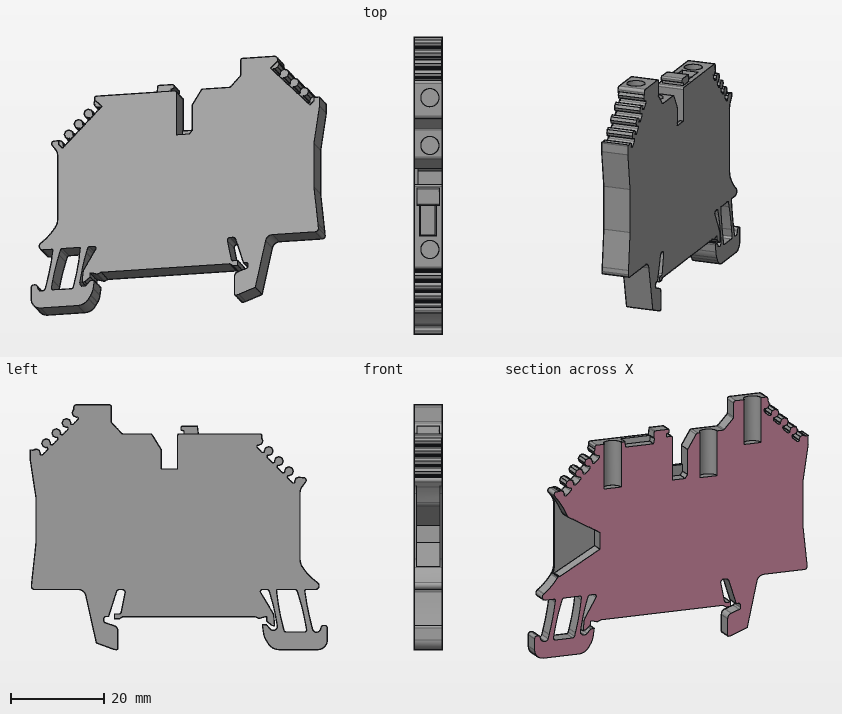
import cadquery as cq
import math


THICKNESS = 6.1
LENGTH = 63.74
HEIGHT = 52.55

SHOULDER_Z = 12.9
OVERLAP = 1.0
FIXED_GAP_Y = 44.1
SPRING_GAP_Y = 13.6
RAIL_SEAT_Z = 7.05
TOWER_FRONT_Y = 46.3
TOWER_BACK_Y = 54.42
DECK_Z = 46.3
END_WALL_Y = 5.85
LIP_Y = 3.94
LIP_Z = 36.9
FLARE_Z = 34.4

RIB_SLOPE = 45
RIB_COUNT = 5
RIB_STEP = 2.175
RIB_RADIUS = 0.97
RIB_NECK = 1.0
RIB_CENTRE_HEIGHT = 1.2
RIB_LENGTH = 5.9
RIB_SPAN = (RIB_COUNT - 1) * RIB_STEP
HIGH_ROW = (62.47, 42.1)
LOW_ROW = (6.07, 36.1)
VALLEY_OFFSET = RIB_CENTRE_HEIGHT / math.sqrt(2)

HOLE_RADIUS = 1.95
HOLE_X = 3.4
HOLE_DEPTH = 10.0
HOLES = ((50.75, HEIGHT), (40.5, DECK_Z), (18.2, DECK_Z))

SLOT_Y = (32.15, 35.6)
SLOT_FLOOR_Z = 38.8
SLOT_LIP = 0.8
SLOT_STEP_WALL = 1.5
SLOT_STEP_DEPTH = 2.3
SLOT_STEP_RUN = 0.6

LATCH_X = (0.6, 5.45)
LATCH_Y = (27.65, 31.4)
LATCH_TOP_Z = 47.95
LATCH_NECK = 0.65
LATCH_NOSE_Z = 47.1
POCKET_X = (1.15, 4.8)
POCKET_Y = (21.08, 27.9)
POCKET_DEPTH = 1.2
POCKET_TAPER = 0.25

CAVITY_X = (0.58, 5.52)
CAVITY_BACK_Y = 15.2


def rounded_outline(corners):
    """Closed YZ wire through (y, z, radius) corners; a radius of 0 stays sharp."""
    trims = []
    for i, (y, z, radius) in enumerate(corners):
        here = cq.Vector(y, z)
        back = (cq.Vector(*corners[i - 1][:2]) - here).normalized()
        ahead = (cq.Vector(*corners[(i + 1) % len(corners)][:2]) - here).normalized()
        half_angle = back.getAngle(ahead) / 2
        reach = radius / math.tan(half_angle)
        to_centre = (back + ahead).normalized()
        middle = here + to_centre * (radius / math.sin(half_angle) - radius)
        trims.append((here + back * reach, middle, here + ahead * reach, radius))
    wire = cq.Workplane("YZ").moveTo(trims[0][2].x, trims[0][2].y)
    for start, middle, end, radius in trims[1:] + trims[:1]:
        wire = wire.lineTo(start.x, start.y)
        if radius > 0:
            wire = wire.threePointArc((middle.x, middle.y), (end.x, end.y))
    return wire.close()


def plate(corners, x_range=(0, THICKNESS)):
    """Prism of a rounded outline between two X positions, by default the full thickness."""
    start_x, end_x = x_range
    return rounded_outline(corners).extrude(end_x - start_x).translate((start_x, 0, 0))


def housing():
    high_y, high_z = HIGH_ROW
    low_y, low_z = LOW_ROW
    valley = VALLEY_OFFSET
    return plate([
        (LENGTH, 42.85, 0.1),
        (high_y, high_z + 0.7, 0),
        (high_y, high_z, 0),
        (high_y - valley, high_z - valley, 0),
        (high_y - RIB_SPAN - valley, high_z + RIB_SPAN - valley, 0),
        (high_y - RIB_SPAN, high_z + RIB_SPAN, 0),
        (TOWER_BACK_Y, high_z + RIB_SPAN + 0.6, 0),
        (TOWER_BACK_Y, HEIGHT, 0.65),
        (TOWER_FRONT_Y, HEIGHT, 0.5),
        (TOWER_FRONT_Y, 48.75, 0.4),
        (44.0, DECK_Z, 0.4),
        (37.7, DECK_Z, 0.5),
        (SLOT_Y[1], 42.9, 0),
        (SLOT_Y[1], SLOT_FLOOR_Z, 0),
        (SLOT_Y[0], SLOT_FLOOR_Z, 0),
        (SLOT_Y[0], DECK_Z, 0.4),
        (14.05, DECK_Z, 0.4),
        (14.05, 45.4, 0),
        (low_y + RIB_SPAN, low_z + RIB_SPAN, 0),
        (low_y + RIB_SPAN + valley, low_z + RIB_SPAN - valley, 0),
        (low_y + valley, low_z - valley, 0),
        (low_y, low_z, 0),
        (low_y, low_z + 0.85, 0),
        (LIP_Y, LIP_Z, 0.6),
        (END_WALL_Y, FLARE_Z, 2.5),
        (END_WALL_Y, 18.5, 3.3),
        (4.0, 15.75, 12.3),
        (0.02, SHOULDER_Z, 0.83),
        (63.55, SHOULDER_Z, 0.7),
        (63.4, 14.6, 0),
        (62.5, 22.9, 0),
        (62.5, 32.6, 0),
        (LENGTH, 40.8, 0),
    ])


def rib_row(lowest_centre, direction):
    """Octagonal ribs climbing at 45 degrees; direction is the sign of their step along Y."""
    half_neck = RIB_NECK / 2
    diagonal = RIB_RADIUS * math.sin(math.pi / 4)
    side_slope = (RIB_RADIUS - diagonal) / diagonal
    root = RIB_CENTRE_HEIGHT - RIB_RADIUS + half_neck * side_slope
    foot = half_neck + root
    arc_drop = root * math.sin(math.pi / 4)
    arc_shift = half_neck + root - arc_drop
    low = RIB_CENTRE_HEIGHT - diagonal
    high = RIB_CENTRE_HEIGHT + diagonal
    rib = (
        cq.Workplane("YZ")
        .moveTo(-foot, 0)
        .threePointArc((-arc_shift, root - arc_drop), (-half_neck, root))
        .lineTo(-diagonal, low)
        .lineTo(-RIB_RADIUS, RIB_CENTRE_HEIGHT)
        .lineTo(-diagonal, high)
        .lineTo(0, RIB_CENTRE_HEIGHT + RIB_RADIUS)
        .lineTo(diagonal, high)
        .lineTo(RIB_RADIUS, RIB_CENTRE_HEIGHT)
        .lineTo(diagonal, low)
        .lineTo(half_neck, root)
        .threePointArc((arc_shift, root - arc_drop), (foot, 0))
        .lineTo(foot, -root)
        .lineTo(-foot, -root)
        .close()
        .extrude(RIB_LENGTH)
        .translate((0, 0, -RIB_CENTRE_HEIGHT))
        .rotate((0, 0, 0), (1, 0, 0), RIB_SLOPE * direction)
    )
    row = cq.Workplane("YZ")
    for i in range(RIB_COUNT):
        y = lowest_centre[0] + direction * i * RIB_STEP
        z = lowest_centre[1] + i * RIB_STEP
        row = row.union(rib.translate((0, y, z)))
    return row


def rail_web():
    """Web resting on the rail, with the hook at its +Y end and the fang at its -Y end."""
    return plate([
        (FIXED_GAP_Y, SHOULDER_Z + OVERLAP, 0),
        (FIXED_GAP_Y, SHOULDER_Z, 0),
        (43.25, SHOULDER_Z, 0.6),
        (44.3, 7.7, 0.4),
        (45.65, 7.7, 0),
        (45.65, 6.6, 0),
        (44.6, 6.6, 0),
        (43.9, RAIL_SEAT_Z, 0),
        (15.5, RAIL_SEAT_Z, 0),
        (14.6, 6.7, 0.2),
        (13.4, RAIL_SEAT_Z, 0),
        (13.05, RAIL_SEAT_Z, 0),
        (13.05, 6.15, 0),
        (11.9, 5.2, 0),
        (11.3, 5.1, 0),
        (11.5, 7.6, 2.0),
        (14.65, SHOULDER_Z, 0.4),
        (SPRING_GAP_Y, SHOULDER_Z, 0),
        (SPRING_GAP_Y, SHOULDER_Z + OVERLAP, 0),
    ])


def fixed_foot():
    """Rigid +Y foot gripping the rail edge."""
    return plate([
        (55.0, SHOULDER_Z + OVERLAP, 0),
        (55.0, SHOULDER_Z, 0),
        (52.1, SHOULDER_Z, 1.6),
        (49.55, 1.45, 0),
        (45.6, 0.0, 2.0),
        (44.9, 0.0, 0.3),
        (44.9, 4.9, 1.2),
        (47.9, 5.9, 0.4),
        (47.9, 7.1, 0.4),
        (46.9, 7.1, 0),
        (45.05, SHOULDER_Z, 0.7),
        (FIXED_GAP_Y, SHOULDER_Z, 0),
        (FIXED_GAP_Y, SHOULDER_Z + OVERLAP, 0),
    ])


def spring_foot():
    """Clip foot on two thin curved legs."""
    foot = plate([
        (SPRING_GAP_Y, SHOULDER_Z + OVERLAP, 0),
        (SPRING_GAP_Y, SHOULDER_Z, 0),
        (12.6, SHOULDER_Z, 0.4),
        (11.5, 9.3, 40.0),
        (10.6, 4.2, 0.8),
        (12.0, 4.2, 0.8),
        (13.1, 5.4, 0.2),
        (13.98, 5.4, 0.1),
        (13.6, 2.8, 4.0),
        (11.9, 0.0, 2.8),
        (0.0, 0.0, 2.1),
        (0.0, 5.25, 0.6),
        (1.3, 5.25, 0.6),
        (1.6, 3.8, 0.9),
        (3.0, 3.8, 0.7),
        (4.3, 8.75, 58.0),
        (4.85, SHOULDER_Z, 0.25),
        (4.0, SHOULDER_Z, 0),
        (4.0, SHOULDER_Z + OVERLAP, 0),
    ])
    window = plate([
        (10.9, SHOULDER_Z, 0.2),
        (6.6, SHOULDER_Z, 0.4),
        (5.3, 8.8, 45.0),
        (4.4, 3.85, 0.4),
        (9.2, 3.85, 0.4),
        (10.42, 8.5, 50.0),
    ])
    return foot.cut(window)


def slot_step():
    """Deeper floor of the cross slot, open at the +X face."""
    near_y, far_y = SLOT_Y
    step_z = SLOT_FLOOR_Z - SLOT_STEP_DEPTH
    return plate([
        (far_y, SLOT_FLOOR_Z, 0),
        (far_y, SLOT_FLOOR_Z - SLOT_STEP_WALL, 0),
        (far_y - SLOT_STEP_RUN, step_z, 0),
        (near_y, step_z, 0),
        (near_y, SLOT_FLOOR_Z, 0),
    ], (SLOT_LIP, THICKNESS))


def latch():
    near_y, far_y = LATCH_Y
    return plate([
        (near_y, DECK_Z, 0),
        (near_y + 0.2, LATCH_TOP_Z, 0.15),
        (far_y, LATCH_TOP_Z, 0.35),
        (far_y, LATCH_NOSE_Z, 0.2),
        (far_y - LATCH_NECK, LATCH_NOSE_Z - 0.2, 0),
        (far_y - LATCH_NECK, DECK_Z, 0),
    ], LATCH_X)


def marker_pocket():
    width = POCKET_X[1] - POCKET_X[0]
    length = POCKET_Y[1] - POCKET_Y[0]
    return (
        cq.Workplane("XY", origin=(sum(POCKET_X) / 2, sum(POCKET_Y) / 2, DECK_Z))
        .rect(width, length)
        .workplane(offset=-POCKET_DEPTH)
        .rect(width - 2 * POCKET_TAPER, length - 2 * POCKET_TAPER)
        .loft()
    )


def flare_point(y):
    """Point at y on the line of the lip's sloping underside."""
    slope = (FLARE_Z - LIP_Z) / (END_WALL_Y - LIP_Y)
    return y, LIP_Z + slope * (y - LIP_Y)


def end_cavity():
    """Funnel-shaped cavity, closed by thin walls at both X faces."""
    return plate([
        (4.6, 17.9, 0),
        (END_WALL_Y, 17.9, 0),
        (CAVITY_BACK_Y, 22.95, 0),
        (CAVITY_BACK_Y, 26.6, 0),
        (7.7, 30.95, 1.0),
        (*flare_point(6.63), 16.5),
        (*flare_point(5.2), 0),
        (4.6, flare_point(5.2)[1], 0),
    ], CAVITY_X)


def screw_hole(y, deck_z):
    hole = cq.Workplane("XY", origin=(HOLE_X, y, deck_z)).circle(HOLE_RADIUS)
    return hole.extrude(-HOLE_DEPTH)


result = (
    housing()
    .union(rib_row(HIGH_ROW, -1))
    .union(rib_row(LOW_ROW, 1))
    .union(rail_web())
    .union(fixed_foot())
    .union(spring_foot())
    .cut(slot_step())
    .cut(marker_pocket())
    .union(latch())
    .cut(end_cavity())
)
for hole_y, hole_deck_z in HOLES:
    result = result.cut(screw_hole(hole_y, hole_deck_z))